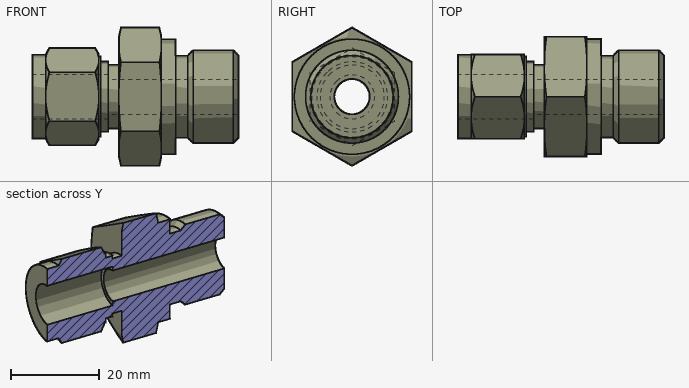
import cadquery as cq
import math

NUT_COLLAR_END = 2.98
NUT_HEX_END = 15.0
NUT_FACE_END = 15.45
SHOULDER_END = 17.15
BODY_HEX_START = 19.5
BODY_HEX_END = 29.1
FLANGE_END = 32.25
RELIEF_END = 35.0
TOTAL_LENGTH = 46.5

NUT_COLLAR_DIAMETER = 18.95
NUT_FACE_DIAMETER = 18.15
SHOULDER_DIAMETER = 15.9
NECK_DIAMETER = 14.4
FLANGE_DIAMETER = 26.0
THREAD_DIAMETER = 20.95
THREAD_CHAMFER = 1.2
RELIEF_DIAMETER = THREAD_DIAMETER - 2 * THREAD_CHAMFER

NUT_ACROSS_FLATS = 19.0
NUT_CHAMFER_ANGLE = 30.0
BODY_ACROSS_FLATS = 27.0
BODY_CHAMFER_DIAMETER = 26.95
BODY_CHAMFER_ANGLE = 13.0

TUBE_SOCKET_DIAMETER = 10.0
TUBE_SOCKET_DEPTH = SHOULDER_END
BORE_DIAMETER = 7.9


def cylinder(start, end, diameter):
    """Solid cylinder on the X axis between two stations."""
    return cq.Workplane("YZ").workplane(offset=start).circle(diameter / 2).extrude(end - start)


def chamfered_hex(start, end, across_flats, face_diameter, chamfer_angle):
    """Hexagonal prism on the X axis, its corners coned off at both ends."""
    across_corners = across_flats / math.cos(math.radians(30))
    prism = (
        cq.Workplane("YZ")
        .workplane(offset=start)
        .transformed(rotate=(0, 0, 90))
        .polygon(6, across_corners)
        .extrude(end - start)
    )
    face_radius = face_diameter / 2
    outer_radius = 1.1 * across_corners / 2
    cone_length = (outer_radius - face_radius) * math.tan(math.radians(chamfer_angle))
    envelope = (
        cq.Workplane("XY")
        .moveTo(start, 0)
        .lineTo(start, face_radius)
        .lineTo(start + cone_length, outer_radius)
        .lineTo(end - cone_length, outer_radius)
        .lineTo(end, face_radius)
        .lineTo(end, 0)
        .close()
        .revolve(360, (0, 0, 0), (1, 0, 0))
    )
    return prism.intersect(envelope)


def compression_nut():
    """Tube nut: round collar, hexagon and thin bearing face."""
    collar = cylinder(0, NUT_COLLAR_END, NUT_COLLAR_DIAMETER)
    hexagon = chamfered_hex(
        NUT_COLLAR_END, NUT_HEX_END, NUT_ACROSS_FLATS, NUT_COLLAR_DIAMETER, NUT_CHAMFER_ANGLE
    )
    face = cylinder(NUT_HEX_END, NUT_FACE_END, NUT_FACE_DIAMETER)
    return collar.union(hexagon).union(face)


def fitting_body():
    """Body: stepped neck, hexagon and sealing flange."""
    shoulder = cylinder(NUT_FACE_END, SHOULDER_END, SHOULDER_DIAMETER)
    neck = cylinder(SHOULDER_END, BODY_HEX_START, NECK_DIAMETER)
    hexagon = chamfered_hex(
        BODY_HEX_START, BODY_HEX_END, BODY_ACROSS_FLATS, BODY_CHAMFER_DIAMETER, BODY_CHAMFER_ANGLE
    )
    flange = cylinder(BODY_HEX_END, FLANGE_END, FLANGE_DIAMETER)
    return shoulder.union(neck).union(hexagon).union(flange)


def threaded_end():
    """Thread relief and plain thread cylinder, chamfered at both ends."""
    relief = cylinder(FLANGE_END, RELIEF_END, RELIEF_DIAMETER)
    thread = cylinder(RELIEF_END, TOTAL_LENGTH, THREAD_DIAMETER).edges("%CIRCLE").chamfer(THREAD_CHAMFER)
    return relief.union(thread)


def stepped_bore():
    """Tube socket followed by the narrower through bore."""
    socket = cylinder(0, TUBE_SOCKET_DEPTH, TUBE_SOCKET_DIAMETER)
    bore = cylinder(0, TOTAL_LENGTH, BORE_DIAMETER)
    return socket.union(bore)


result = compression_nut().union(fitting_body()).union(threaded_end()).cut(stepped_bore())